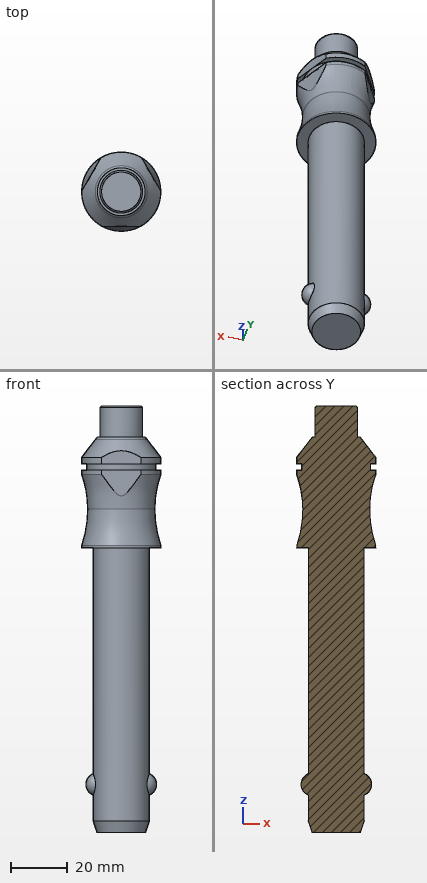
import cadquery as cq
import math

length = 150.5

shank_radius = 10.0
tip_radius = 8.6
tip_height = 4.0

ball_radius = 4.0
ball_reach = 12.5
ball_height = 17.0

handle_radius = 14.0
waist_radius = 11.9
handle_base = 100.4
rim_top = handle_base + 0.9
waist_height = 114.1
lip_bottom = 126.3
lip_top = 127.8
groove_radius = 12.2
band_bottom = 130.1
band_top = 132.3
shoulder_top = 139.5
shoulder_edge = 0.9
shoulder_edge_radius = 9.2
shoulder_top_radius = 8.5

flat_distance = groove_radius
flat_count = 3
first_flat_angle = -90.0

button_radius = 7.5
button_chamfer = 0.6


def flare_middle(end_radius, end_height):
    """Midpoint of an arc that leaves the waist parallel to the axis."""
    rise = end_height - waist_height
    spread = end_radius - waist_radius
    arc_radius = (rise**2 + spread**2) / (2 * spread)
    half_angle = math.asin(rise / arc_radius) / 2
    radius = waist_radius + arc_radius * (1 - math.cos(half_angle))
    return radius, waist_height + arc_radius * math.sin(half_angle)


def turned_body():
    """Shank, handle and button revolved about Z as one profile."""
    profile = (
        cq.Workplane("XZ")
        .lineTo(tip_radius, 0)
        .lineTo(shank_radius, tip_height)
        .lineTo(shank_radius, handle_base)
        .lineTo(handle_radius, handle_base)
        .lineTo(handle_radius, rim_top)
        .threePointArc(flare_middle(handle_radius, rim_top), (waist_radius, waist_height))
        .threePointArc(flare_middle(handle_radius, lip_bottom), (handle_radius, lip_bottom))
        .lineTo(handle_radius, lip_top)
        .lineTo(groove_radius, lip_top)
        .lineTo(groove_radius, band_bottom)
        .lineTo(handle_radius, band_bottom)
        .lineTo(handle_radius, band_top)
        .lineTo(shoulder_edge_radius, shoulder_top - shoulder_edge)
        .lineTo(shoulder_top_radius, shoulder_top)
        .lineTo(button_radius, shoulder_top)
        .lineTo(button_radius, length - button_chamfer)
        .lineTo(button_radius - button_chamfer, length)
        .lineTo(0, length)
        .close()
    )
    return profile.revolve(360, (0, 0, 0), (0, 1, 0))


def flat_cutter(angle):
    """Block outside one flat, from the waist up to the shoulder top."""
    block = cq.Workplane("XY").box(
        handle_radius, 2 * handle_radius, shoulder_top - waist_height, centered=(False, True, False)
    )
    return block.translate((flat_distance, 0, waist_height)).rotate((0, 0, 0), (0, 0, 1), angle)


result = turned_body()

for index in range(flat_count):
    result = result.cut(flat_cutter(first_flat_angle + index * 360 / flat_count))

for side in (-1, 1):
    ball_center = (side * (ball_reach - ball_radius), 0, ball_height)
    result = result.union(cq.Workplane("XY").sphere(ball_radius).translate(ball_center))